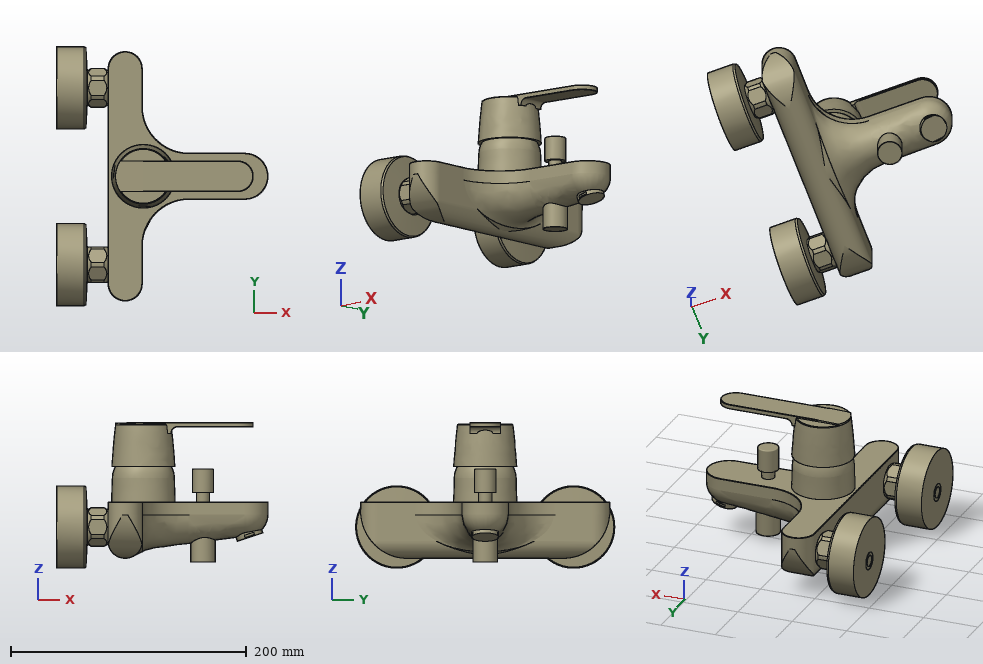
import cadquery as cq
import math


BAR_LENGTH = 211.6
BAR_WIDTH = 29.0
BAR_BACK_X = -30.0
BAR_HEIGHT = 48.0
BAR_END_STRAIGHT = 7.3
BAR_END_ROUND_LENGTH = 39.5
BAR_RADIUS = BAR_WIDTH / 2
BAR_AXIS_X = BAR_BACK_X + BAR_RADIUS
BAR_FRONT_X = BAR_BACK_X + BAR_WIDTH

PLATE_THICKNESS = 11.0
PLATE_CHAMFER = 0.5
SPOUT_HALF_WIDTH = 19.5
SPOUT_END_X = 105.8
SPOUT_TIP_X = SPOUT_END_X - SPOUT_HALF_WIDTH
FLARE_RADIUS = 39.5
FLARE_CENTRE_X = BAR_FRONT_X + FLARE_RADIUS
FLARE_CENTRE_Y = SPOUT_HALF_WIDTH + FLARE_RADIUS
SPOUT_TIP_DEPTH = 18.3
SPOUT_UNDERSIDE_SLOPE = math.tan(math.radians(7.3))
FLARE_STEPS = 5
FLARE_EXTRA_DEPTH = 2.0
FLARE_SWEEP_POWER = 8
ROOT_X = BAR_AXIS_X + BAR_RADIUS / 2
ROOT_EXTRA_DEPTH = 4.5

COLLAR_BASE_RADIUS = 27.0
COLLAR_SHOULDER_RADIUS = 26.5
COLLAR_MID_RADIUS = 25.7
COLLAR_TOP_RADIUS = 23.8
COLLAR_SHOULDER_Z = 20.0
COLLAR_MID_Z = 25.3
COLLAR_TOP_Z = 30.0

DIVERTER_X = 50.5
OUTLET_DIAMETER = 21.0
OUTLET_END_DIAMETER = 20.5
OUTLET_BOTTOM_Z = -51.0
OUTLET_CHAMFER = (OUTLET_DIAMETER - OUTLET_END_DIAMETER) / 2
KNOB_DIAMETER = 18.0
KNOB_BOTTOM_Z = 8.0
KNOB_TOP_Z = 28.0
KNOB_FILLET = 0.9
SHAFT_DIAMETER = 11.2

AERATOR_DIAMETER = 22.9
AERATOR_X = 90.6
AERATOR_Z = -30.0
AERATOR_TILT = 18.3
AERATOR_LENGTH = 11.0
AERATOR_POCKET_LENGTH = 8.4
AERATOR_POCKET_HEIGHT = 2.0
AERATOR_POCKET_OFFSET = 2.0
AERATOR_POCKET_DEPTH = 0.9

CAP_BOTTOM_RADIUS = 26.8
CAP_MID_RADIUS = 25.5
CAP_TOP_RADIUS = 23.5
CAP_MID_Z = 48.0
CAP_TOP_Z = 66.0
CAP_CHAMFER = 0.7
LEVER_WIDTH = 26.0
LEVER_END_X = 93.3
LEVER_BOTTOM_Z = 63.4
LEVER_TOP_Z = 67.5
LEVER_BACK_TOP_Z = 66.9
LEVER_CHAMFER = 0.5
GUSSET_END_X = 27.7
GUSSET_MID_X = 24.9
GUSSET_MID_Z = 61.8
GUSSET_BOTTOM_Z = 58.0

CONNECTOR_SPACING = 150.0
FLANGE_DIAMETER = 70.0
FLANGE_Z = -21.3
FLANGE_BACK_X = -73.5
FLANGE_RIM_END_X = -50.4
FLANGE_BEVEL_RADIUS = 34.0
FLANGE_BEVEL_END_X = -48.6
FLANGE_END_X = -47.5
RING_OUTER_DIAMETER = 15.5
RING_INNER_DIAMETER = 10.0
RING_HEIGHT = 0.2
RING_DROP = 3.3
NUT_ACROSS_FLATS = 30.4
NUT_OUTER_DIAMETER = 33.0
NUT_END_DIAMETER = 29.0
NUT_CHAMFER_LENGTH = 3.3


def half_ellipse(x, half_width, depth):
    """Wire of a half ellipse across the spout at x, hanging below the plate."""
    return (
        cq.Workplane("YZ", origin=(x, 0, -PLATE_THICKNESS))
        .moveTo(-half_width, 0)
        .ellipseArc(half_width, depth, 180, 360, startAtCurrent=True)
        .close()
        .val()
    )


def spout_depth(x):
    """Depth of the straight sloping underside of the spout below the plate."""
    return SPOUT_TIP_DEPTH + (SPOUT_TIP_X - x) * SPOUT_UNDERSIDE_SLOPE


def make_plate():
    """Flat top plate: a round-ended crossbar that flares into a round-ended spout."""
    diagonal = FLARE_RADIUS * math.sqrt(0.5)
    mid_x = FLARE_CENTRE_X - diagonal
    mid_y = FLARE_CENTRE_Y - diagonal
    bar_end_y = BAR_LENGTH / 2 - BAR_RADIUS
    outline = (
        cq.Workplane("XY")
        .moveTo(BAR_BACK_X, -bar_end_y)
        .threePointArc((BAR_AXIS_X, -BAR_LENGTH / 2), (BAR_FRONT_X, -bar_end_y))
        .lineTo(BAR_FRONT_X, -FLARE_CENTRE_Y)
        .threePointArc((mid_x, -mid_y), (FLARE_CENTRE_X, -SPOUT_HALF_WIDTH))
        .lineTo(SPOUT_TIP_X, -SPOUT_HALF_WIDTH)
        .threePointArc((SPOUT_END_X, 0), (SPOUT_TIP_X, SPOUT_HALF_WIDTH))
        .lineTo(FLARE_CENTRE_X, SPOUT_HALF_WIDTH)
        .threePointArc((mid_x, mid_y), (BAR_FRONT_X, FLARE_CENTRE_Y))
        .lineTo(BAR_FRONT_X, bar_end_y)
        .threePointArc((BAR_AXIS_X, BAR_LENGTH / 2), (BAR_BACK_X, bar_end_y))
        .close()
    )
    return outline.extrude(-PLATE_THICKNESS).faces(">Z").edges().chamfer(PLATE_CHAMFER)


def make_crossbar():
    """Crossbar with a half-round underside and rounded ends."""
    side_depth = BAR_HEIGHT - BAR_RADIUS
    half_length = BAR_LENGTH / 2
    flat_half_length = half_length - BAR_END_ROUND_LENGTH
    section = (
        cq.Workplane("XZ", origin=(0, half_length, 0))
        .moveTo(BAR_BACK_X, -PLATE_CHAMFER)
        .lineTo(BAR_BACK_X, -side_depth)
        .threePointArc((BAR_AXIS_X, -BAR_HEIGHT), (BAR_FRONT_X, -side_depth))
        .lineTo(BAR_FRONT_X, -PLATE_CHAMFER)
        .close()
        .extrude(BAR_LENGTH)
    )
    round_height = BAR_HEIGHT - BAR_END_STRAIGHT
    lengthwise = (
        cq.Workplane("YZ", origin=(BAR_BACK_X, 0, 0))
        .moveTo(-half_length, 0)
        .lineTo(-half_length, -BAR_END_STRAIGHT)
        .ellipseArc(BAR_END_ROUND_LENGTH, round_height, 180, 270, startAtCurrent=True)
        .lineTo(flat_half_length, -BAR_HEIGHT)
        .ellipseArc(BAR_END_ROUND_LENGTH, round_height, 270, 360, startAtCurrent=True)
        .lineTo(half_length, 0)
        .close()
        .extrude(BAR_WIDTH)
    )
    plan = (
        cq.Workplane("XY", origin=(BAR_AXIS_X, 0, 0))
        .slot2D(BAR_LENGTH, BAR_WIDTH, 90)
        .extrude(-BAR_HEIGHT)
    )
    return section.intersect(lengthwise).intersect(plan)


def make_spout():
    """Underside of the spout: half-elliptical sections that end in a half ellipsoid."""
    flare = []
    for step in range(FLARE_STEPS + 1):
        turn = math.pi / 2 * step / FLARE_STEPS
        x = FLARE_CENTRE_X - FLARE_RADIUS * math.cos(turn)
        half_width = FLARE_CENTRE_Y - FLARE_RADIUS * math.sin(turn)
        sweep_down = FLARE_EXTRA_DEPTH * math.cos(turn) ** FLARE_SWEEP_POWER
        flare.append(half_ellipse(x, half_width, spout_depth(x) + sweep_down))
    root = half_ellipse(ROOT_X, FLARE_CENTRE_Y, spout_depth(ROOT_X) + ROOT_EXTRA_DEPTH)
    end = half_ellipse(SPOUT_TIP_X, SPOUT_HALF_WIDTH, SPOUT_TIP_DEPTH)
    trunk = (
        cq.Workplane(cq.Solid.makeLoft(flare))
        .union(cq.Workplane(cq.Solid.makeLoft([root, flare[0]], True)))
        .union(cq.Workplane(cq.Solid.makeLoft([flare[-1], end], True)))
    )
    tip = (
        cq.Workplane("YZ", origin=(SPOUT_TIP_X, 0, -PLATE_THICKNESS))
        .lineTo(-SPOUT_HALF_WIDTH, 0)
        .ellipseArc(SPOUT_HALF_WIDTH, SPOUT_TIP_DEPTH, 180, 270, startAtCurrent=True)
        .close()
        .revolve(180, (0, 0, 0), (0, 1, 0))
    )
    return trunk.union(tip)


def make_outlet():
    """Shower outlet stub below the spout."""
    return (
        cq.Workplane("XY", origin=(DIVERTER_X, 0, OUTLET_BOTTOM_Z))
        .circle(OUTLET_DIAMETER / 2)
        .extrude(-PLATE_THICKNESS - OUTLET_BOTTOM_Z)
        .faces("<Z")
        .chamfer(OUTLET_CHAMFER)
    )


def make_aerator():
    """Tilted aerator disc with a small pocket on each side of its rim."""
    radius = AERATOR_DIAMETER / 2
    disc = cq.Workplane("XY").circle(radius).extrude(AERATOR_LENGTH)
    for side in (-1, 1):
        pocket = cq.Workplane("XY", origin=(0, side * radius, AERATOR_POCKET_OFFSET)).box(
            AERATOR_POCKET_LENGTH, 2 * AERATOR_POCKET_DEPTH, AERATOR_POCKET_HEIGHT
        )
        disc = disc.cut(pocket)
    return disc.rotate((0, 0, 0), (0, 1, 0), -AERATOR_TILT).translate((AERATOR_X, 0, AERATOR_Z))


def make_body():
    """Plate, crossbar, spout, shower outlet and aerator in one piece."""
    body = make_plate()
    for feature in (make_crossbar(), make_spout(), make_outlet(), make_aerator()):
        body = body.union(feature)
    return body


def make_diverter():
    """Pull knob on a thinner shaft, standing on the body."""
    knob = (
        cq.Workplane("XY", origin=(DIVERTER_X, 0, KNOB_BOTTOM_Z))
        .circle(KNOB_DIAMETER / 2)
        .extrude(KNOB_TOP_Z - KNOB_BOTTOM_Z)
        .faces(">Z")
        .edges()
        .fillet(KNOB_FILLET)
    )
    shaft = cq.Workplane("XY", origin=(DIVERTER_X, 0, 0)).circle(SHAFT_DIAMETER / 2).extrude(KNOB_BOTTOM_Z)
    return knob.union(shaft)


def make_collar():
    """Slightly tapered collar with a rounded shoulder, under the cap."""
    return (
        cq.Workplane("XZ")
        .lineTo(COLLAR_BASE_RADIUS, 0)
        .lineTo(COLLAR_SHOULDER_RADIUS, COLLAR_SHOULDER_Z)
        .threePointArc((COLLAR_MID_RADIUS, COLLAR_MID_Z), (COLLAR_TOP_RADIUS, COLLAR_TOP_Z))
        .lineTo(0, COLLAR_TOP_Z)
        .close()
        .revolve(360, (0, 0, 0), (0, 1, 0))
    )


def make_handle():
    """Collar that stands on the body, with a tapered cap and a flat lever across the cap top."""
    cap = (
        cq.Workplane("XZ")
        .moveTo(0, COLLAR_TOP_Z)
        .lineTo(CAP_BOTTOM_RADIUS, COLLAR_TOP_Z)
        .threePointArc((CAP_MID_RADIUS, CAP_MID_Z), (CAP_TOP_RADIUS, CAP_TOP_Z))
        .lineTo(0, CAP_TOP_Z)
        .close()
        .revolve(360, (0, 0, 0), (0, 1, 0))
        .faces(">Z")
        .edges()
        .chamfer(CAP_CHAMFER)
    )
    half_width = LEVER_WIDTH / 2
    lever = (
        cq.Workplane("XY", origin=(0, 0, LEVER_BOTTOM_Z))
        .moveTo(0, -half_width)
        .lineTo(LEVER_END_X - half_width, -half_width)
        .threePointArc((LEVER_END_X, 0), (LEVER_END_X - half_width, half_width))
        .lineTo(0, half_width)
        .close()
        .extrude(LEVER_TOP_Z - LEVER_BOTTOM_Z)
        .edges("(|X or %CIRCLE) and (not |Z)")
        .chamfer(LEVER_CHAMFER)
    )
    ramp = (
        cq.Workplane("XZ", origin=(0, half_width, 0))
        .moveTo(0, LEVER_BOTTOM_Z)
        .lineTo(0, LEVER_TOP_Z)
        .lineTo(-CAP_TOP_RADIUS, LEVER_BACK_TOP_Z)
        .lineTo(-CAP_TOP_RADIUS, LEVER_BOTTOM_Z)
        .close()
        .extrude(LEVER_WIDTH)
        .intersect(cq.Workplane("XY").circle(CAP_TOP_RADIUS).extrude(LEVER_TOP_Z))
    )
    gusset = (
        cq.Workplane("XZ", origin=(0, half_width, 0))
        .moveTo(0, LEVER_BOTTOM_Z + LEVER_CHAMFER)
        .lineTo(GUSSET_END_X, LEVER_BOTTOM_Z + LEVER_CHAMFER)
        .lineTo(GUSSET_END_X, LEVER_BOTTOM_Z)
        .threePointArc((GUSSET_MID_X, GUSSET_MID_Z), (CAP_TOP_RADIUS, GUSSET_BOTTOM_Z))
        .lineTo(0, GUSSET_BOTTOM_Z)
        .close()
        .extrude(LEVER_WIDTH)
    )
    return make_collar().union(cap).union(lever).union(ramp).union(gusset)


def make_connector(y, flat_angle):
    """Wall flange with its nut, centred at y; one nut flat is turned flat_angle degrees from +Z."""
    flange = (
        cq.Workplane("XY")
        .moveTo(FLANGE_BACK_X, 0)
        .lineTo(FLANGE_BACK_X, FLANGE_DIAMETER / 2)
        .lineTo(FLANGE_RIM_END_X, FLANGE_DIAMETER / 2)
        .lineTo(FLANGE_BEVEL_END_X, FLANGE_BEVEL_RADIUS)
        .lineTo(FLANGE_END_X, NUT_END_DIAMETER / 2)
        .lineTo(FLANGE_END_X, 0)
        .close()
        .revolve(360, (0, 0, 0), (1, 0, 0))
    )
    ring = (
        cq.Workplane("YZ", origin=(FLANGE_BACK_X, 0, -RING_DROP))
        .circle(RING_OUTER_DIAMETER / 2)
        .circle(RING_INNER_DIAMETER / 2)
        .extrude(-RING_HEIGHT)
    )
    corner_diameter = NUT_ACROSS_FLATS / math.cos(math.pi / 6)
    hexagon = (
        cq.Workplane("YZ", origin=(FLANGE_END_X, 0, 0))
        .polygon(6, corner_diameter)
        .extrude(BAR_BACK_X - FLANGE_END_X)
        .rotate((0, 0, 0), (1, 0, 0), flat_angle)
    )
    turned = (
        cq.Workplane("XY")
        .moveTo(FLANGE_END_X, 0)
        .lineTo(FLANGE_END_X, NUT_END_DIAMETER / 2)
        .lineTo(FLANGE_END_X + NUT_CHAMFER_LENGTH, NUT_OUTER_DIAMETER / 2)
        .lineTo(BAR_BACK_X - NUT_CHAMFER_LENGTH, NUT_OUTER_DIAMETER / 2)
        .lineTo(BAR_BACK_X, NUT_END_DIAMETER / 2)
        .lineTo(BAR_BACK_X, 0)
        .close()
        .revolve(360, (0, 0, 0), (1, 0, 0))
    )
    nut = hexagon.intersect(turned)
    return flange.union(ring).union(nut).translate((0, y, FLANGE_Z))


body = make_body()
handle = make_handle()
diverter = make_diverter()
connectors = []
for side, flat_angle in ((-1, 90), (1, 0)):
    connectors.append(make_connector(side * CONNECTOR_SPACING / 2, flat_angle).val())

result = cq.Compound.makeCompound([body.val(), handle.val(), diverter.val(), *connectors])